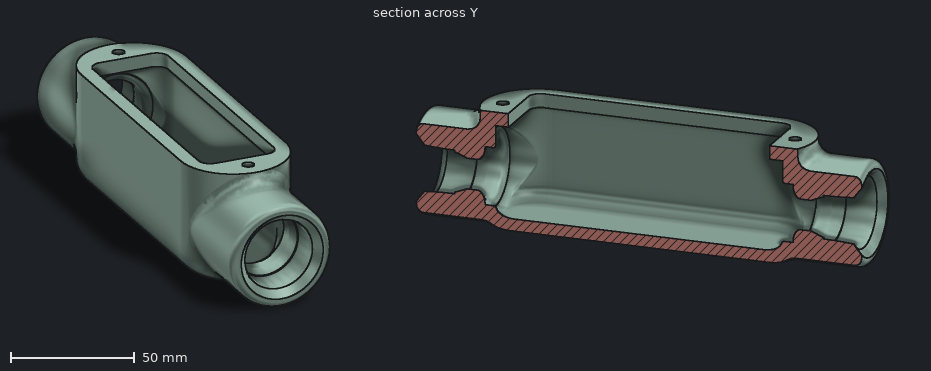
import cadquery as cq

length = 192.8
body_width = 46.7
body_height = 50.1

end_center_x = 48.4
body_end_radius = body_width / 2
floor_edge_radius = 9.8
trim_stock = 19.3

hub_diameter = 44.5
hub_lift = 0.04
hub_axis_z = hub_diameter / 2 + hub_lift
hub_rim_radius = 3.0
junction_radius = 6.4

wall = 5.5
floor_thickness = 5.4
lip_depth = 6.0
cavity_end_radius = body_end_radius - wall
cavity_edge_radius = 5.2
opening_length = 113.0
opening_width = 33.4
opening_corner_radius = 5.2
lip_cut_depth = 2 * lip_depth

mouth_diameter = 36.5
thread_outer_diameter = 30.0
thread_inner_diameter = 29.3
lead_in_diameter = 28.5
throat_diameter = 26.2
throat_edge_radius = 3.3
chamber_diameter = 33.5
chamber_rim_radius = 1.5
mouth_depth = 3.5
thread_end_x = 79.8
throat_outer_x = 74.5
throat_inner_x = 69.8

screw_diameter = 5.0
screw_spacing = 126.5


def round_ended_block(end_radius, bottom, top):
    """Upright block with straight sides and round ends."""
    return (
        cq.Workplane("XY")
        .workplane(offset=bottom)
        .slot2D(2 * (end_center_x + end_radius), 2 * end_radius)
        .extrude(top - bottom)
    )


def make_outside():
    """Body and hubs, blended together while the body is too tall, then trimmed flat."""
    stock_top = body_height + trim_stock
    stock = round_ended_block(body_end_radius, 0, stock_top).faces("<Z").edges().fillet(floor_edge_radius)
    hubs = (
        cq.Workplane("YZ")
        .center(0, hub_axis_z)
        .circle(hub_diameter / 2)
        .extrude(length / 2, both=True)
        .faces("<X or >X")
        .edges()
        .fillet(hub_rim_radius)
    )
    joined = stock.union(hubs)
    blended = joined.edges("%BSPLINE").fillet(junction_radius)
    trim = cq.Workplane("XY").box(length, length, trim_stock, centered=(True, True, False))
    return blended.cut(trim.translate((0, 0, body_height)))


def make_cavity():
    """Main pocket under the lip, plus the rectangular opening above it."""
    pocket = round_ended_block(cavity_end_radius, floor_thickness, body_height - lip_depth)
    pocket = pocket.faces("<Z").edges().fillet(cavity_edge_radius)
    opening = (
        cq.Workplane("XY")
        .workplane(offset=body_height)
        .rect(opening_length, opening_width)
        .extrude(-lip_cut_depth)
        .edges("|Z")
        .fillet(opening_corner_radius)
    )
    return pocket.union(opening)


def make_hub_bores():
    """Stepped, tapered hole of each hub, turned about the hub axis."""
    mouth_x = length / 2
    chamber_end_x = throat_inner_x - throat_edge_radius
    chamber_radius = chamber_diameter / 2
    throat_radius = throat_diameter / 2
    profile = (
        cq.Workplane("XZ", origin=(0, 0, hub_axis_z))
        .moveTo(end_center_x, 0)
        .lineTo(end_center_x, chamber_radius)
        .lineTo(chamber_end_x, chamber_radius)
        .lineTo(chamber_end_x, throat_radius + throat_edge_radius)
        .radiusArc((throat_inner_x, throat_radius), -throat_edge_radius)
        .lineTo(throat_outer_x, throat_radius)
        .lineTo(thread_end_x, lead_in_diameter / 2)
        .lineTo(thread_end_x, thread_inner_diameter / 2)
        .lineTo(mouth_x - mouth_depth, thread_outer_diameter / 2)
        .lineTo(mouth_x, mouth_diameter / 2)
        .lineTo(mouth_x, 0)
        .close()
    )
    bore = profile.revolve(360, (0, 0), (1, 0))
    return bore.union(bore.mirror("YZ"))


def make_inside():
    """Cavity and bores as one void, with the chamber rims rounded."""
    void = make_cavity().union(make_hub_bores())
    return void.edges("%BSPLINE").fillet(chamber_rim_radius)


def make_screw_holes():
    return (
        cq.Workplane("XY")
        .workplane(offset=body_height)
        .pushPoints([(-screw_spacing / 2, 0), (screw_spacing / 2, 0)])
        .circle(screw_diameter / 2)
        .extrude(-lip_cut_depth)
    )


result = make_outside().cut(make_inside()).cut(make_screw_holes())